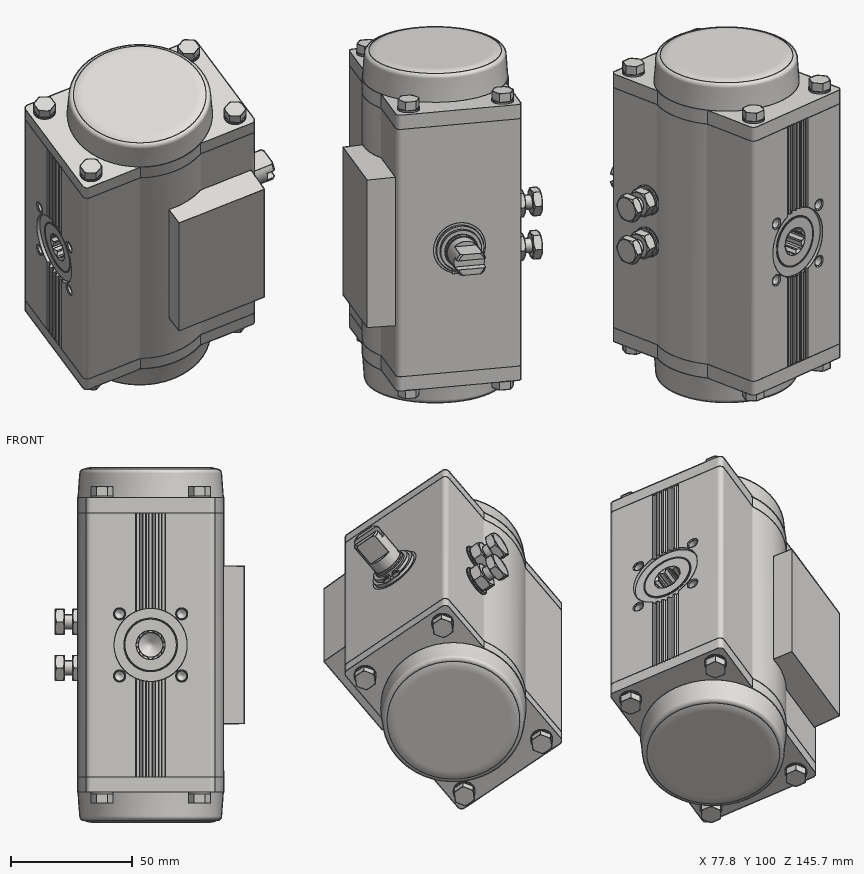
import cadquery as cq
import math

total_height = 145.7
barrel_radius = 30.0
body_width = 53.0
body_depth = 80.0
corner_radius = 2.0
side_blend_radius = 2.0
housing_height = 108.4

cap_flange_thickness = 6.3
dome_base_radius = 29.9
dome_edge_radius = 29.1
dome_rounding_height = 2.3
dome_shoulder_radius = 27.2
dome_shoulder_drop = 0.7
dome_flat_radius = 23.9

bolt_spacing_x = 39.9
bolt_spacing_y = 67.3
bolt_washer_diameter = 9.0
bolt_washer_thickness = 0.7
bolt_corner_diameter = 9.0
bolt_face_diameter = 8.5
bolt_head_height = 3.8

shaft_diameter = 22.0
shaft_collar_diameter = 14.0
shaft_tip_diameter = 13.0
shaft_reach = 20.0
shaft_bottom_chamfer = 0.5
collar_length = 4.2
collar_chamfer = 0.5
neck_diameter = 13.1
neck_length = 5.0
tip_chamfer = 0.7
tip_flat_length = 9.9
square_size = 9.0
tip_slot_width = 4.0
tip_slot_depth = 3.8

socket_diameter = 12.0
socket_depth = 11.7
socket_drill_diameter = 10.0
socket_drill_depth = 14.5
drill_point_angle = 118.0

washer_diameter = 20.0
washer_thickness = 1.5
ring_diameter = 17.3
ring_thickness = 1.5
ring_ear_reach = 10.0
ring_ear_span = 7.3
ring_gap = 1.7
ring_ear_hole_diameter = 1.7

recess_diameter = 30.0
recess_depth = 1.5
mounting_hole_spacing = 25.5
mounting_hole_diameter = 4.1
mounting_thread_diameter = 5.0
mounting_hole_depth = 7.3

groove_count = 5
groove_pitch = 2.6
groove_mouth_width = 1.7
groove_floor_width = 1.2
groove_depth = 0.9

pad_height = 66.0
pad_bottom_y = -3.2
pad_top_y = 38.0
pad_face_x = 38.5
pad_draft_angle = 1.0

screw_spacing = 19.0
screw_y = 19.7
screw_diameter = 6.0
screw_corner_diameter = 12.0
screw_face_diameter = 10.0
screw_head_height = 3.8
screw_gap = 3.4
screw_nut_height = 4.7
screw_flange_diameter = 13.0
screw_flange_thickness = 0.9
screw_flange_chamfer = 0.5
hex_chamfer_angle = 30.0

half_width = body_width / 2
half_depth = body_depth / 2
half_housing = housing_height / 2
half_total = total_height / 2
flange_top = half_housing + cap_flange_thickness
recess_floor_y = -half_depth + recess_depth
shaft_end_y = half_depth + shaft_reach
screw_heights = (-screw_spacing / 2, screw_spacing / 2)


def disc_y(diameter, start_y, end_y):
    """A cylinder on the Y axis between two Y positions."""
    plane = cq.Workplane(cq.Plane((0, start_y, 0), (1, 0, 0), (0, 1, 0)))
    return plane.circle(diameter / 2).extrude(end_y - start_y)


def drill(diameter, depth):
    """A drill bit shape along +Z from the origin: cylinder of the given depth plus its point."""
    radius = diameter / 2
    point = radius / math.tan(math.radians(drill_point_angle / 2))
    outline = cq.Workplane("XZ").polyline([(0, 0), (radius, 0), (radius, depth), (0, depth + point)])
    return outline.close().revolve(360, (0, 0, 0), (0, 1, 0))


def drill_from_front(tool, start_y):
    """Turn a +Z tool to point along +Y and start it at the given Y."""
    return tool.rotate((0, 0, 0), (1, 0, 0), -90).translate((0, start_y, 0))


def hexagon(corner_diameter, face_diameter, height, both_ends):
    """A hexagonal prism along +Z with its corners on X, chamfered at the top or at both ends."""
    prism = cq.Workplane("XY").polygon(6, corner_diameter).extrude(height)
    outer = corner_diameter / 2
    face = face_diameter / 2
    drop = (outer - face) * math.tan(math.radians(hex_chamfer_angle))
    bottom = [(0, 0), (face, 0), (outer, drop)] if both_ends else [(0, 0), (outer, 0)]
    outline = cq.Workplane("XZ").polyline(bottom + [(outer, height - drop), (face, height), (0, height)])
    return prism.intersect(outline.close().revolve(360, (0, 0, 0), (0, 1, 0)))


def body_section(start_z, height):
    """The rectangular block with rounded corners merged with the round barrel."""
    block = cq.Workplane("XY").rect(body_width, body_depth).extrude(height)
    block = block.edges("|Z").fillet(corner_radius)
    barrel = cq.Workplane("XY").circle(barrel_radius).extrude(height)
    return block.union(barrel).translate((0, 0, start_z))


def barrel_junctions(section):
    """The four inner edges where the barrel leaves the flat sides."""
    junction_y = math.sqrt(barrel_radius**2 - half_width**2)
    reach = 0.1
    return section.edges("|Z").filter(
        lambda edge: abs(abs(edge.Center().x) - half_width) < reach
        and abs(abs(edge.Center().y) - junction_y) < reach
    )


def air_pad():
    """Drafted connection block on the +X side."""
    pad_depth = pad_top_y - pad_bottom_y
    plane = cq.Plane((0, (pad_top_y + pad_bottom_y) / 2, 0), (0, 1, 0), (1, 0, 0))
    return cq.Workplane(plane).rect(pad_depth, pad_height).extrude(pad_face_x, taper=pad_draft_angle)


def face_grooves():
    """Parallel trapezoidal grooves along the middle of the front mounting face."""
    half_mouth = groove_mouth_width / 2
    half_floor = groove_floor_width / 2
    outline = [(-half_mouth, 0), (half_mouth, 0), (half_floor, groove_depth), (-half_floor, groove_depth)]
    groove = cq.Workplane("XY").polyline(outline).close().extrude(housing_height)
    grooves = cq.Workplane("XY")
    for i in range(groove_count):
        x = (i - (groove_count - 1) / 2) * groove_pitch
        grooves = grooves.add(groove.translate((x, -half_depth, -half_housing)))
    return grooves.combine()


def mounting_hole():
    """Blind tapped hole with a countersunk mouth, along +Z from the origin."""
    mouth = (mounting_thread_diameter - mounting_hole_diameter) / 2
    countersink = cq.Workplane("XY").circle(mounting_thread_diameter / 2).extrude(mouth, taper=45)
    return drill(mounting_hole_diameter, mounting_hole_depth).union(countersink)


def make_housing():
    housing = body_section(-half_housing, housing_height)
    housing = barrel_junctions(housing).fillet(side_blend_radius)
    housing = housing.union(air_pad())
    housing = housing.cut(face_grooves())
    housing = housing.cut(disc_y(recess_diameter, -half_depth, recess_floor_y))
    housing = housing.cut(disc_y(shaft_diameter, -half_depth, half_depth))
    half_spacing = mounting_hole_spacing / 2
    for x in (-half_spacing, half_spacing):
        for z in (-half_spacing, half_spacing):
            hole = drill_from_front(mounting_hole(), -half_depth)
            housing = housing.cut(hole.translate((x, 0, z)))
    for z in screw_heights:
        spot_face = cq.Workplane("YZ").circle(screw_flange_diameter / 2).extrude(-barrel_radius)
        spot_face = spot_face.cut(cq.Workplane("YZ").circle(screw_flange_diameter).extrude(-half_width))
        housing = housing.cut(spot_face.translate((0, screw_y, z)))
    return housing


def cap_dome():
    """Tapered, rounded dome on the cap flange."""
    rounding_z = half_total - dome_rounding_height
    shoulder_z = half_total - dome_shoulder_drop
    blend = math.sqrt(0.5)
    middle = (
        dome_shoulder_radius + (dome_edge_radius - dome_shoulder_radius) * blend,
        rounding_z + (shoulder_z - rounding_z) * blend,
    )
    crown_middle = (
        (dome_flat_radius + dome_shoulder_radius) / 2,
        half_total - dome_shoulder_drop / 4,
    )
    outline = (
        cq.Workplane("XZ")
        .moveTo(0, half_housing)
        .lineTo(dome_base_radius, half_housing)
        .lineTo(dome_base_radius, flange_top)
        .lineTo(dome_edge_radius, rounding_z)
        .threePointArc(middle, (dome_shoulder_radius, shoulder_z))
        .threePointArc(crown_middle, (dome_flat_radius, half_total))
        .lineTo(0, half_total)
        .close()
    )
    return outline.revolve(360, (0, 0, 0), (0, 1, 0))


def cap_bolt():
    """Hexagon bolt head on its washer, along +Z from the origin."""
    washer = cq.Workplane("XY").circle(bolt_washer_diameter / 2).extrude(bolt_washer_thickness)
    head = hexagon(bolt_corner_diameter, bolt_face_diameter, bolt_head_height, both_ends=False)
    return washer.union(head.translate((0, 0, bolt_washer_thickness)))


def make_top_cap():
    cap = body_section(half_housing, cap_flange_thickness).union(cap_dome())
    for x in (-bolt_spacing_x / 2, bolt_spacing_x / 2):
        for y in (-bolt_spacing_y / 2, bolt_spacing_y / 2):
            cap = cap.union(cap_bolt().translate((x, y, flange_top)))
    return cap


def star_socket():
    """Two squares turned by 45 degrees with rounded-off corners, a countersunk mouth and a drilled core."""
    side = cq.Workplane("XY").rect(square_size, square_size).extrude(socket_depth)
    star = side.union(side.rotate((0, 0, 0), (0, 0, 1), 45))
    star = star.intersect(cq.Workplane("XY").circle(socket_diameter / 2).extrude(socket_depth))
    mouth_depth = (socket_diameter - square_size) / 2
    mouth = cq.Workplane("XY").circle(socket_diameter / 2).extrude(mouth_depth, taper=45)
    return star.union(mouth).union(drill(socket_drill_diameter, socket_drill_depth))


def make_shaft():
    shaft = disc_y(shaft_diameter, recess_floor_y, half_depth).faces("<Y").chamfer(shaft_bottom_chamfer)
    collar_end = half_depth + collar_length
    collar = disc_y(shaft_collar_diameter, half_depth, collar_end)
    collar = collar.faces(">Y").chamfer(collar_chamfer)
    collar = collar.union(disc_y(neck_diameter, half_depth, half_depth + neck_length))
    tip = disc_y(shaft_tip_diameter, half_depth, shaft_end_y).faces(">Y").chamfer(tip_chamfer)
    for side in (-1, 1):
        flat = cq.Workplane("XY").box(shaft_diameter, tip_flat_length, square_size)
        tip = tip.cut(flat.translate((0, shaft_end_y - tip_flat_length / 2, side * square_size)))
    slot = cq.Workplane("XY").box(shaft_diameter, 2 * tip_slot_depth, tip_slot_width)
    tip = tip.cut(slot.translate((0, shaft_end_y, 0)))
    return shaft.union(collar).union(tip).cut(drill_from_front(star_socket(), recess_floor_y))


def make_washer():
    washer = disc_y(washer_diameter, half_depth, half_depth + washer_thickness)
    return washer.cut(disc_y(shaft_collar_diameter, half_depth, half_depth + washer_thickness))


def make_retaining_ring():
    """Split ring with two drilled ears on its -Z side."""
    start_y = half_depth + washer_thickness
    end_y = start_y + ring_thickness
    middle_y = (start_y + end_y) / 2
    ears = cq.Workplane("XY").box(ring_ear_span, ring_thickness, ring_ear_reach)
    ring = disc_y(ring_diameter, start_y, end_y).union(ears.translate((0, middle_y, -ring_ear_reach / 2)))
    ring = ring.cut(disc_y(shaft_collar_diameter, start_y, end_y))
    gap = cq.Workplane("XY").box(ring_gap, ring_thickness, ring_ear_reach)
    ring = ring.cut(gap.translate((0, middle_y, -ring_ear_reach / 2)))
    ear_x = (ring_ear_span + ring_gap) / 4
    ear_z = -(shaft_collar_diameter / 2 + ring_ear_reach) / 2
    for x in (-ear_x, ear_x):
        ring = ring.cut(disc_y(ring_ear_hole_diameter, start_y, end_y).translate((x, 0, ear_z)))
    return ring


def make_stop_screw(z):
    """Stop screw with its flanged lock nut on the -X side, built outward from the flat side."""
    nut_start = screw_flange_thickness
    thread_start = nut_start + screw_nut_height
    head_start = thread_start + screw_gap
    nut = hexagon(screw_corner_diameter, screw_face_diameter, screw_nut_height, both_ends=True)
    head = hexagon(screw_corner_diameter, screw_face_diameter, screw_head_height, both_ends=True)
    screw = cq.Workplane("XY").circle(screw_flange_diameter / 2).extrude(screw_flange_thickness)
    screw = screw.faces(">Z").chamfer(screw_flange_chamfer)
    screw = screw.union(cq.Workplane("XY").circle(screw_diameter / 2).extrude(head_start))
    screw = screw.union(nut.translate((0, 0, nut_start)))
    screw = screw.union(head.translate((0, 0, head_start)))
    outward = cq.Plane((-half_width, screw_y, z), (0, 1, 0), (-1, 0, 0))
    return cq.Workplane(screw.val().moved(cq.Location(outward)))


housing = make_housing()
top_cap = make_top_cap()
bottom_cap = top_cap.mirror("XY")
shaft = make_shaft()
washer = make_washer()
retaining_ring = make_retaining_ring()
stop_screws = [make_stop_screw(z) for z in screw_heights]

result = cq.Compound.makeCompound(
    [
        housing.val(),
        top_cap.val(),
        bottom_cap.val(),
        shaft.val(),
        washer.val(),
        retaining_ring.val(),
        *[screw.val() for screw in stop_screws],
    ]
)